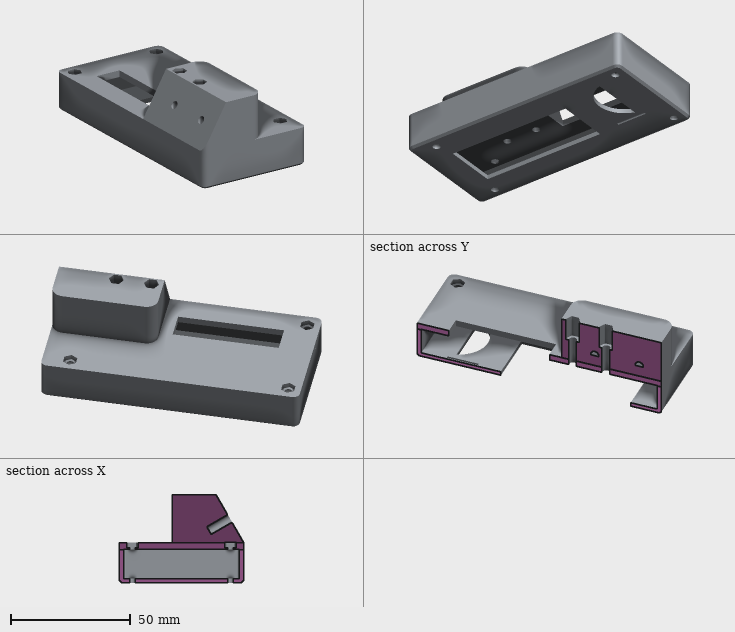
import cadquery as cq
import math

CASE_LENGTH = 110.0
CASE_WIDTH = 52.0
BASE_HEIGHT = 14.0
LID_THICKNESS = 3.0
LID_TOP = BASE_HEIGHT + LID_THICKNESS
CORNER_RADIUS = 2.8
BOTTOM_CHAMFER = 1.0
WALL = 2.0
FLOOR = 2.0

SCREW_DIAMETER = 3.5
NUT_ACROSS_FLATS = 5.5
NUT_SIDES = 6
NUT_ACROSS_CORNERS = NUT_ACROSS_FLATS / math.cos(math.pi / NUT_SIDES)
CORNER_SCREW_INSET = 5.5
RIGHT_SCREW_INSET = 11.7
LID_NUT_DEPTH = 2.2
CORNERS_ALONG_X = 0
CORNERS_ALONG_Y = 30

WINDOW_LEFT = 14.4
WINDOW_FRONT = 10.6
WINDOW_LENGTH = 45.1
WINDOW_WIDTH = 11.5

OPENING_LEFT = 37.7
OPENING_MARGIN = 13.9
SLIT_RIGHT = 27.2
SLIT_LENGTH = 14.0
SLIT_WIDTH = 1.0
SLIT_CENTER_Y = 15.6
ROUND_OPENING_X = 12.3
ROUND_OPENING_Y = 31.1
ROUND_OPENING_RADIUS = 13.0
ROUND_OPENING_LEFT = 16.1

MOUNT_LENGTH = 45.0
MOUNT_WIDTH = 30.0
MOUNT_HEIGHT = 20.0
MOUNT_CORNER_RADIUS = 5.0
MOUNT_LEFT = CASE_LENGTH - MOUNT_LENGTH
SLOPE_FROM_VERTICAL = math.radians(30)
SLOPE_RUN = MOUNT_HEIGHT * math.tan(SLOPE_FROM_VERTICAL)
MOUNT_NUT_DEPTH = 10.0
MOUNT_SCREW_INSET = 5.0
MOUNT_SCREW_FIRST_X = MOUNT_LEFT + MOUNT_SCREW_INSET
MOUNT_SCREW_PITCH = 15.0
MOUNT_SCREW_POINTS = [
    (MOUNT_SCREW_FIRST_X, MOUNT_WIDTH / 2),
    (MOUNT_SCREW_FIRST_X + MOUNT_SCREW_PITCH, MOUNT_WIDTH / 2),
]
SLOPE_HOLE_PITCH = 20.0
SLOPE_HOLE_RIGHT_INSET = 10.0
SLOPE_HOLE_LAST_X = CASE_LENGTH - SLOPE_HOLE_RIGHT_INSET
SLOPE_HOLE_DEPTH = 10.0

CORNER_SCREW_POINTS = [
    (x, y)
    for x in (CORNER_SCREW_INSET, CASE_LENGTH - RIGHT_SCREW_INSET)
    for y in (CORNER_SCREW_INSET, CASE_WIDTH - CORNER_SCREW_INSET)
]


def block(x, y, z, length, width, height):
    """Box with its lowest corner at (x, y, z)."""
    return cq.Workplane("XY").box(length, width, height, centered=False).translate((x, y, z))


def case_block(bottom, height):
    """Full-size block of the case with rounded vertical edges."""
    return block(0, 0, bottom, CASE_LENGTH, CASE_WIDTH, height).edges("|Z").fillet(CORNER_RADIUS)


def screw_holes(points, bottom, height):
    """Straight holes rising from the height `bottom`."""
    centers = cq.Workplane("XY", origin=(0, 0, bottom)).pushPoints(points)
    return centers.circle(SCREW_DIAMETER / 2).extrude(height)


def nut_pockets(points, top, depth, turn):
    """Hexagonal pockets sunk from the height `top`; `turn` is in degrees about Z."""
    pocket = cq.Workplane("XY").polygon(NUT_SIDES, NUT_ACROSS_CORNERS).extrude(-depth)
    pocket = pocket.val().rotate(cq.Vector(0, 0, 0), cq.Vector(0, 0, 1), turn)
    return cq.Workplane("XY", origin=(0, 0, top)).pushPoints(points).eachpoint(pocket)


def floor_openings():
    opening_length = CASE_LENGTH - OPENING_MARGIN - OPENING_LEFT
    opening_width = CASE_WIDTH - 2 * OPENING_MARGIN
    main_opening = block(OPENING_LEFT, OPENING_MARGIN, 0, opening_length, opening_width, FLOOR)

    slit_front = SLIT_CENTER_Y - SLIT_WIDTH / 2
    slit = block(SLIT_RIGHT - SLIT_LENGTH, slit_front, 0, SLIT_LENGTH, SLIT_WIDTH, FLOOR)

    chord_offset = ROUND_OPENING_LEFT - ROUND_OPENING_X
    half_chord = math.sqrt(ROUND_OPENING_RADIUS**2 - chord_offset**2)
    round_opening = (
        cq.Workplane("XY")
        .moveTo(ROUND_OPENING_LEFT, ROUND_OPENING_Y - half_chord)
        .threePointArc(
            (ROUND_OPENING_X + ROUND_OPENING_RADIUS, ROUND_OPENING_Y),
            (ROUND_OPENING_LEFT, ROUND_OPENING_Y + half_chord),
        )
        .close()
        .extrude(FLOOR)
    )
    return main_opening.union(slit).union(round_opening)


def make_base():
    cavity = block(
        WALL, WALL, FLOOR, CASE_LENGTH - 2 * WALL, CASE_WIDTH - 2 * WALL, BASE_HEIGHT - FLOOR
    )
    cavity = cavity.edges("|Z").fillet(CORNER_RADIUS - WALL)
    base = case_block(0, BASE_HEIGHT).faces("<Z").chamfer(BOTTOM_CHAMFER)
    base = base.cut(cavity)
    base = base.cut(floor_openings())
    return base.cut(screw_holes(CORNER_SCREW_POINTS, 0, FLOOR))


def make_lid():
    window = block(
        WINDOW_LEFT, WINDOW_FRONT, BASE_HEIGHT, WINDOW_LENGTH, WINDOW_WIDTH, LID_THICKNESS
    )
    lid = case_block(BASE_HEIGHT, LID_THICKNESS)
    lid = lid.cut(window)
    lid = lid.cut(screw_holes(CORNER_SCREW_POINTS + MOUNT_SCREW_POINTS, BASE_HEIGHT, LID_THICKNESS))
    return lid.cut(nut_pockets(CORNER_SCREW_POINTS, LID_TOP, LID_NUT_DEPTH, CORNERS_ALONG_Y))


def slope_hole(x):
    """Blind hole square to the middle of the sloped face."""
    inward = cq.Vector(0, math.cos(SLOPE_FROM_VERTICAL), -math.sin(SLOPE_FROM_VERTICAL))
    center = cq.Vector(x, SLOPE_RUN / 2, LID_TOP + MOUNT_HEIGHT / 2)
    return cq.Solid.makeCylinder(SCREW_DIAMETER / 2, SLOPE_HOLE_DEPTH, center, inward)


def make_mount():
    mount = (
        cq.Workplane("YZ", origin=(MOUNT_LEFT, 0, LID_TOP))
        .moveTo(0, 0)
        .lineTo(MOUNT_WIDTH, 0)
        .lineTo(MOUNT_WIDTH, MOUNT_HEIGHT)
        .lineTo(SLOPE_RUN, MOUNT_HEIGHT)
        .close()
        .extrude(MOUNT_LENGTH)
    )
    mount = mount.edges("|Z").fillet(MOUNT_CORNER_RADIUS)
    mount = mount.intersect(case_block(LID_TOP, MOUNT_HEIGHT))
    mount = mount.cut(screw_holes(MOUNT_SCREW_POINTS, LID_TOP, MOUNT_HEIGHT))
    mount_top = LID_TOP + MOUNT_HEIGHT
    mount = mount.cut(nut_pockets(MOUNT_SCREW_POINTS, mount_top, MOUNT_NUT_DEPTH, CORNERS_ALONG_X))
    for x in (SLOPE_HOLE_LAST_X - SLOPE_HOLE_PITCH, SLOPE_HOLE_LAST_X):
        mount = mount.cut(slope_hole(x))
    return mount


base = make_base()
lid = make_lid()
mount = make_mount()

result = cq.Compound.makeCompound([base.val(), lid.val(), mount.val()])